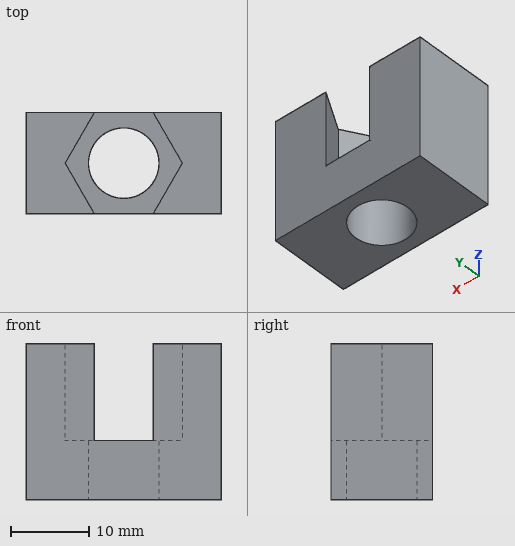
import cadquery as cq
import math

length = 25.0
width = 13.0
height = 20.0

pocket_depth = 12.4
hex_across_corners = width / math.cos(math.radians(30))

hole_diameter = 9.0

block = cq.Workplane("XY").box(length, width, height, centered=(True, True, False))

pocket = (
    cq.Workplane("XY")
    .workplane(offset=height - pocket_depth)
    .polygon(6, hex_across_corners)
    .extrude(pocket_depth)
)

hole = cq.Workplane("XY").circle(hole_diameter / 2).extrude(height)

result = block.cut(pocket).cut(hole)